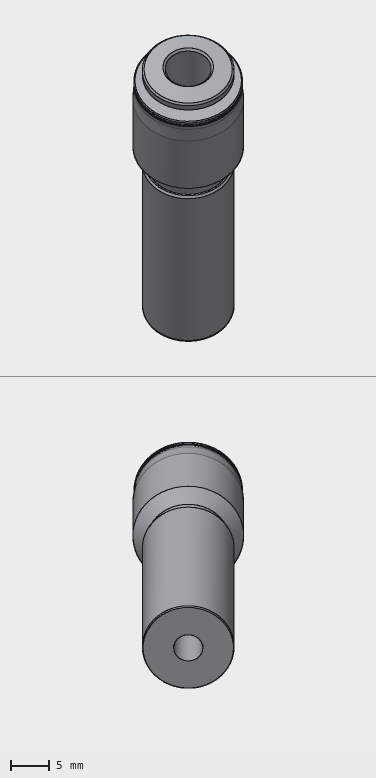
import cadquery as cq

total_height = 48.8
rim_edge_top = 48.15
rim_underside = 47.3
body_top = 46.1
ring_groove_top = 45.5
ring_groove_bottom = 45.25
body_taper_top = 44.65
body_taper_bottom = 42.45
body_bottom = 32.8
stem_shoulder = 29.2

body_diameter = 14.5
body_top_diameter = 14.2
stem_diameter = 12.0
stem_end_diameter = 11.8
rim_diameter = stem_diameter
stem_neck_diameter = 11.0
collar_neck_diameter = 7.5

rim_chamfer = 0.25
rim_crown_height = 0.4
collar_neck_fillet = 0.4
body_top_chamfer = 0.15
ring_groove_depth = 0.15
stem_shoulder_chamfer = 0.3
stem_end_chamfer_height = 0.3

through_diameter = 3.8
socket_diameter = 6.0
socket_mouth_diameter = 6.6
socket_bottom = body_bottom

body_radius = body_diameter / 2
body_top_radius = body_top_diameter / 2
ring_groove_radius = body_top_radius - ring_groove_depth
stem_radius = stem_diameter / 2
stem_neck_radius = stem_neck_diameter / 2
rim_radius = rim_diameter / 2
collar_neck_radius = collar_neck_diameter / 2
socket_radius = socket_diameter / 2
socket_mouth_radius = socket_mouth_diameter / 2
through_radius = through_diameter / 2
body_cone_bottom = body_bottom - (body_radius - stem_neck_radius)
socket_mouth_bottom = total_height - (socket_mouth_radius - socket_radius)

stem = [
    (through_radius, 0),
    (stem_end_diameter / 2, 0),
    (stem_radius, stem_end_chamfer_height),
    (stem_radius, stem_shoulder),
    (stem_radius - stem_shoulder_chamfer, stem_shoulder + stem_shoulder_chamfer),
    (stem_neck_radius, stem_shoulder + stem_shoulder_chamfer),
    (stem_neck_radius, body_cone_bottom),
]
body = [
    (body_radius, body_bottom),
    (body_radius, body_taper_bottom),
    (body_top_radius, body_taper_top),
    (body_top_radius, ring_groove_bottom),
    (ring_groove_radius, ring_groove_bottom),
    (ring_groove_radius, ring_groove_top),
    (body_top_radius, ring_groove_top),
    (body_top_radius, body_top - body_top_chamfer),
    (body_top_radius - body_top_chamfer, body_top),
]
collar_neck = [
    (collar_neck_radius, body_top),
    (collar_neck_radius, rim_underside - collar_neck_fillet),
]
release_rim = [
    (collar_neck_radius + collar_neck_fillet, rim_underside),
    (rim_radius, rim_underside),
    (rim_radius, rim_edge_top),
    (rim_radius - rim_chamfer, total_height - rim_crown_height),
    (socket_mouth_radius, total_height),
]
tube_socket = [
    (socket_radius, socket_mouth_bottom),
    (socket_radius, socket_bottom),
    (through_radius, socket_bottom),
]

half_section = (
    cq.Workplane("XZ")
    .polyline(stem + body + collar_neck)
    .radiusArc(release_rim[0], collar_neck_fillet)
    .polyline(release_rim[1:] + tube_socket, includeCurrent=True)
    .close()
)
result = half_section.revolve(360, (0, 0, 0), (0, 1, 0))